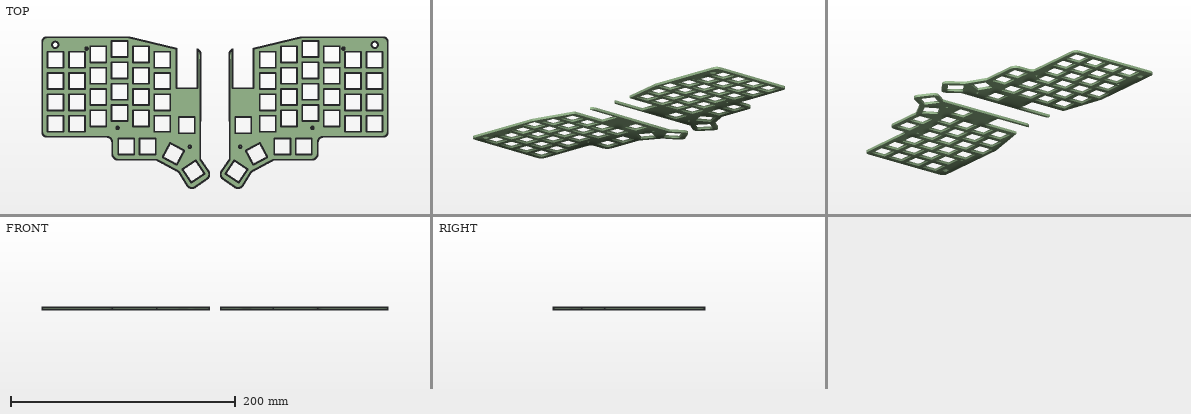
import cadquery as cq


overall_width = 307.69
half_width = overall_width / 2
plate_thickness = 2.2

key_pitch = 19.0
cutout_size = 14.1
rim = 4.9
first_column_x = rim + cutout_size / 2
first_row_y = -20.13
row_count = 4
stagger_step = key_pitch / 4
column_stagger_steps = [0, 0, 1, 2, 1, 0]

inner_key = (128.65, -78.4)
thumb_row_start = (74.85, -97.4)
thumb_row_count = 2
tilted_thumb_key = (116.85, -103.95)
tilted_thumb_angle = -27.9
outer_thumb_key = (134.7, -119.65)
outer_thumb_angle = 34.0

cable_hole_diameter = 5.5
cable_hole = (11.65, -6.9)
screw_hole_diameter = 2.2
screw_holes = [(39.5, -10.3), (67.1, -80.8), (131.5, -97.6)]

slot_left_x = 119.6
slot_right_x = 138.1
slot_bottom_y = -45.4

shoulder_y = -10.3
inner_top_y = -10.6
main_bottom_y = -88.9
tab_left_x = 62.2
tab_bottom_y = -109.4
top_left = (0, 0)
main_bottom_left = (0, main_bottom_y)
tab_top = (tab_left_x, main_bottom_y)
tab_bottom = (tab_left_x, tab_bottom_y)
thumb_arm_start = (102.0, tab_bottom_y)
thumb_bend = (121.5, -119.85)
thumb_tip_bottom = (131.8, -136.58)
thumb_tip_right = (150.85, -123.4)
inner_edge_foot = (140.8, -108.8)
inner_top = (141.2, inner_top_y)
slope_bottom = (slot_left_x, shoulder_y)
slope_top = (76.7, 0)

main_corner_radius = 4.5
tab_corner_radius = 6.0
arm_corner_radius = 5.0
bend_radius = 4.0


def round_corners(plate, corners, radius):
    """Fillet the upright edge standing at each of the given outline corners."""
    for x, y in corners:
        nearest = cq.selectors.NearestToPointSelector((x, y, plate_thickness / 2))
        plate = plate.edges("|Z").edges(nearest).fillet(radius)
    return plate


def make_blank():
    """Plate outline with rounded corners, before anything is cut out of it."""
    corners = [
        top_left,
        main_bottom_left,
        tab_top,
        tab_bottom,
        thumb_arm_start,
        thumb_bend,
        thumb_tip_bottom,
        thumb_tip_right,
        inner_edge_foot,
        inner_top,
        slope_bottom,
        slope_top,
    ]
    blank = cq.Workplane("XY").polyline(corners).close().extrude(plate_thickness)
    blank = round_corners(blank, [top_left, main_bottom_left, tab_top], main_corner_radius)
    blank = round_corners(blank, [tab_bottom], tab_corner_radius)
    blank = round_corners(blank, [thumb_tip_bottom, thumb_tip_right, inner_top], arm_corner_radius)
    return round_corners(blank, [thumb_bend], bend_radius)


def make_slot():
    """Cutter for the display slot, running up past the top of the plate."""
    return (
        cq.Workplane("XY")
        .moveTo(slot_left_x, slot_bottom_y)
        .lineTo(slot_right_x, slot_bottom_y)
        .lineTo(slot_right_x, 0)
        .lineTo(slot_left_x, 0)
        .close()
        .extrude(plate_thickness)
    )


def key_centers():
    """Centers of all the switch cutouts that are square to the plate."""
    centers = [inner_key]
    for column, steps in enumerate(column_stagger_steps):
        x = first_column_x + column * key_pitch
        top_y = first_row_y + steps * stagger_step
        centers += [(x, top_y - row * key_pitch) for row in range(row_count)]
    row_x, row_y = thumb_row_start
    centers += [(row_x + i * key_pitch, row_y) for i in range(thumb_row_count)]
    return centers


def make_keys(centers, angle=0):
    """Square cutters at the given centers, each turned by the angle in degrees."""
    return (
        cq.Workplane("XY")
        .pushPoints(centers)
        .eachpoint(
            lambda place: cq.Workplane("XY")
            .rect(cutout_size, cutout_size)
            .extrude(plate_thickness)
            .rotate((0, 0, 0), (0, 0, 1), angle)
            .val()
            .located(place)
        )
    )


def make_holes(centers, diameter):
    """Round cutters at the given centers."""
    return cq.Workplane("XY").pushPoints(centers).circle(diameter / 2).extrude(plate_thickness)


def make_left_plate():
    plate = make_blank().cut(make_slot())
    plate = plate.cut(make_keys(key_centers()))
    plate = plate.cut(make_keys([tilted_thumb_key], tilted_thumb_angle))
    plate = plate.cut(make_keys([outer_thumb_key], outer_thumb_angle))
    plate = plate.cut(make_holes(screw_holes, screw_hole_diameter))
    plate = plate.cut(make_holes([cable_hole], cable_hole_diameter))
    return plate.translate((-half_width, 0, 0)).solids()


left_plate = make_left_plate()
right_plate = left_plate.mirror("YZ")

result = cq.Compound.makeCompound([left_plate.val(), right_plate.val()])